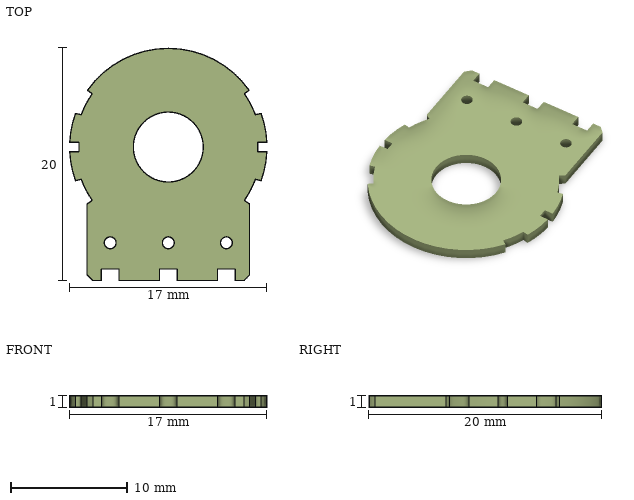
import cadquery as cq
import math

thickness = 1.0
total_length = 19.97
disc_radius = 8.49
tab_half_width = 6.99
tab_end_y = disc_radius - total_length
corner_chamfer = 0.5

bore_diameter = 6.0
pin_hole_diameter = 1.0
pin_pitch = 5.0
pin_columns = (-pin_pitch, 0, pin_pitch)
pin_hole_y = -8.23

end_slot_width = 1.5
end_slot_depth = 1.0

side_notch_width = 0.8
side_notch_floor_x = 7.69

recess_floor_radius = 7.99
recess_cutter_radius = 8.99
recess_start_floor_angle = 20.4
recess_start_cutter_angle = 19.6
recess_end_angle = 35.0

overcut = 0.4


def polar(radius, angle):
    a = math.radians(angle)
    return (radius * math.cos(a), radius * math.sin(a))


def plate():
    disc = cq.Workplane("XY").circle(disc_radius).extrude(thickness)
    tab = (
        cq.Workplane("XY")
        .rect(2 * tab_half_width, 2 * abs(tab_end_y))
        .extrude(thickness)
        .edges("|Z and <Y")
        .chamfer(corner_chamfer)
    )
    tab_top_y = -math.sqrt(disc_radius**2 - tab_half_width**2)
    tab_length = tab_top_y - tab_end_y
    tab_zone = cq.Workplane("XY").center(0, tab_top_y - tab_length / 2)
    tab_zone = tab_zone.rect(2 * tab_half_width, tab_length).extrude(thickness)
    return disc.union(tab.intersect(tab_zone))


def rim_recess():
    """Cutter for the recess in the +X, +Y quadrant."""
    start_floor = polar(recess_floor_radius, recess_start_floor_angle)
    start_outer = polar(recess_cutter_radius, recess_start_cutter_angle)
    end_outer = polar(recess_cutter_radius, recess_end_angle)
    end_floor = polar(recess_floor_radius, recess_end_angle)
    middle_angle = (recess_start_floor_angle + recess_end_angle) / 2
    return (
        cq.Workplane("XY")
        .moveTo(*start_floor)
        .lineTo(*start_outer)
        .threePointArc(polar(recess_cutter_radius, middle_angle), end_outer)
        .lineTo(*end_floor)
        .threePointArc(polar(recess_floor_radius, middle_angle), start_floor)
        .close()
        .extrude(thickness)
    )


def side_notches():
    length = disc_radius - side_notch_floor_x + overcut
    centre_x = side_notch_floor_x + length / 2
    return (
        cq.Workplane("XY")
        .pushPoints([(-centre_x, 0), (centre_x, 0)])
        .rect(length, side_notch_width)
        .extrude(thickness)
    )


def end_slots():
    return (
        cq.Workplane("XY")
        .pushPoints([(x, tab_end_y) for x in pin_columns])
        .rect(end_slot_width, 2 * end_slot_depth)
        .extrude(thickness)
    )


def holes():
    bore = cq.Workplane("XY").circle(bore_diameter / 2).extrude(thickness)
    pins = (
        cq.Workplane("XY")
        .pushPoints([(x, pin_hole_y) for x in pin_columns])
        .circle(pin_hole_diameter / 2)
        .extrude(thickness)
    )
    return bore.union(pins)


result = plate().cut(side_notches()).cut(end_slots()).cut(holes())

upper_right = rim_recess()
upper_left = upper_right.mirror("YZ")
for recess in (upper_right, upper_left):
    result = result.cut(recess).cut(recess.mirror("XZ"))